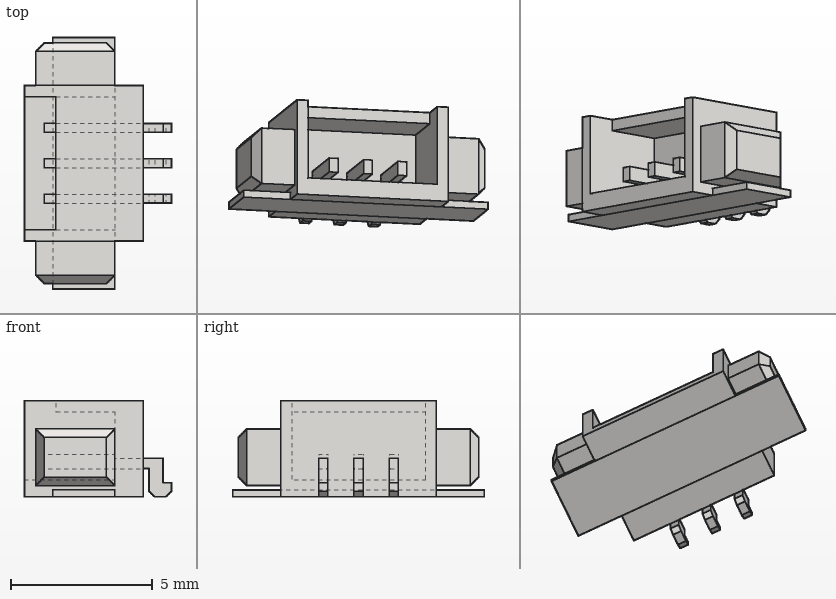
import cadquery as cq


housing_length = 4.2
housing_width = 5.5
housing_height = 3.4
side_wall = 0.4
floor_thickness = 0.6
roof_thickness = 0.4
back_wall = 1.0
roof_setback = 1.1

wing_start = 0.4
wing_end = 3.2
wing_bottom = 0.4
wing_top = 2.4
wing_span = 8.5
wing_chamfer = 0.3

strip_start = 1.0
strip_end = wing_end
strip_span = 8.9
strip_thickness = 0.25

pin_count = 3
pin_pitch = 1.25
pin_width = 0.32
blade_tip = 0.7
blade_bottom = 1.0
blade_height = 0.5
lead_height = 0.37
leg_front = 4.4
leg_back = 4.9
foot_end = 5.2
foot_height = 0.5
foot_chamfer = 0.2

cavity_depth = housing_length - back_wall
cavity_width = housing_width - 2 * side_wall
cavity_top = housing_height - roof_thickness

pin_positions = [(i - (pin_count - 1) / 2) * pin_pitch for i in range(pin_count)]


def block(x_range, y_range, z_range):
    """Box filling the given (low, high) ranges."""
    low, high = zip(x_range, y_range, z_range)
    size = [b - a for a, b in zip(low, high)]
    return cq.Workplane("XY").box(*size, centered=False).translate(low)


def centered_block(x_range, width, z_range):
    """Box of the given width, symmetric about Y = 0."""
    return block(x_range, (-width / 2, width / 2), z_range)


def make_wings():
    """Bar across the whole housing with chamfered rims on both end faces."""
    bar = centered_block((wing_start, wing_end), wing_span, (wing_bottom, wing_top))
    return bar.faces("<Y or >Y").chamfer(wing_chamfer)


def make_strip():
    """Flat solder strip whose two ends show beyond the housing."""
    return centered_block((strip_start, strip_end), strip_span, (0, strip_thickness))


def make_pin(y_center):
    """Contact with a blade in the cavity and a lead stepping down to the board."""
    blade_top = blade_bottom + blade_height
    lead_top = blade_bottom + lead_height
    profile = [
        (blade_tip, blade_bottom),
        (leg_front, blade_bottom),
        (leg_front, foot_chamfer),
        (leg_front + foot_chamfer, 0),
        (foot_end - foot_chamfer, 0),
        (foot_end, foot_chamfer),
        (foot_end, foot_height),
        (leg_back, foot_height),
        (leg_back, lead_top),
        (cavity_depth, lead_top),
        (cavity_depth, blade_top),
        (blade_tip, blade_top),
    ]
    pin = cq.Workplane("XZ").polyline(profile).close().extrude(pin_width / 2, both=True)
    return pin.translate((0, y_center, 0))


def make_housing(fitted_bodies):
    """Shell open at the front, with wings and matching seats for the strip and pins."""
    body = centered_block((0, housing_length), housing_width, (0, housing_height))
    body = body.union(make_wings())
    cavity = centered_block((0, cavity_depth), cavity_width, (floor_thickness, cavity_top))
    roof_notch = centered_block((0, roof_setback), cavity_width, (cavity_top, housing_height))
    body = body.cut(cavity).cut(roof_notch)
    for fitted in fitted_bodies:
        body = body.cut(fitted)
    return body


strip = make_strip()
pins = [make_pin(y) for y in pin_positions]
housing = make_housing([strip, *pins])

result = cq.Compound.makeCompound([housing.val(), strip.val(), *[pin.val() for pin in pins]])